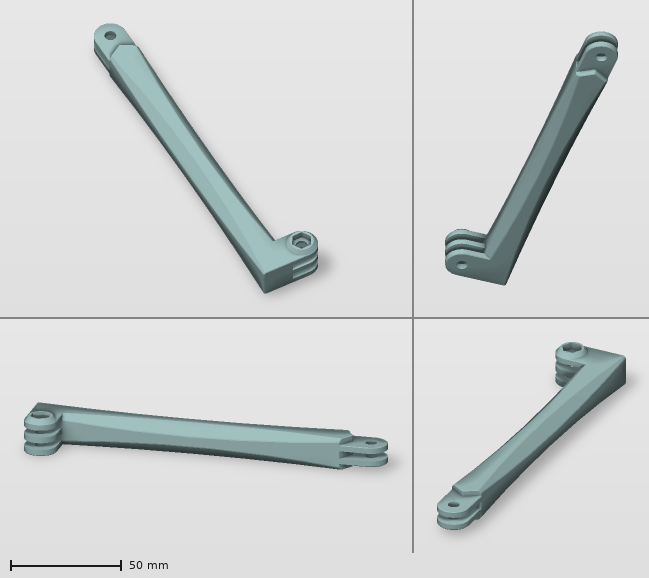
import cadquery as cq
import math


SECTION = 15.0
HALF = SECTION / 2
HINGE_RADIUS = HALF
HOLE_DIAMETER = 5.3
TOLERANCE = 0.001
OVERCUT = 1.0

FOOT_X = 150.0
FOOT_Y = 16.0
ELBOW_X = FOOT_X - HALF
END_X = FOOT_X + HALF

HINGE_CLEARANCE = 8.5
FORK_ROOT_EDGE_X = 13.0
TWO_PRONG_THICKNESS = 2.8
TWO_PRONG_OFFSET = 3.2
THREE_PRONG_SLOT = 3.3
THREE_PRONG_SLOT_OFFSET = 3.0

BEVEL_END_LEG = 0.9
BEVEL_MIDDLE_LEG = 5.1

EDGE_BREAK = 0.3

BOSS_HEIGHT = 2.0
BOSS_TOP_RADIUS = 5.5
NUT_ACROSS_FLATS = 8.4
NUT_POCKET_DEPTH = 3.5


def block(x_min, x_max, y_min, y_max, z_min, z_max):
    """Box given by its limits."""
    size = (x_max - x_min, y_max - y_min, z_max - z_min)
    return cq.Workplane("XY").box(*size, centered=False).translate((x_min, y_min, z_min))


def make_beam():
    """Square beam whose fork root is a V pointing at the two-prong hinge."""
    outline = [
        (HINGE_CLEARANCE, 0),
        (FORK_ROOT_EDGE_X, -HALF),
        (END_X, -HALF),
        (END_X, HALF),
        (FORK_ROOT_EDGE_X, HALF),
    ]
    return cq.Workplane("XY").workplane(offset=-HALF).polyline(outline).close().extrude(SECTION)


def make_bevel_cutter(y_side, z_side, end_x):
    """Arched cutter that bevels one long edge of the beam at 45 degrees, up to end_x."""
    end_depth = BEVEL_END_LEG / math.sqrt(2)
    middle_depth = BEVEL_MIDDLE_LEG / math.sqrt(2)
    middle_x = (HINGE_CLEARANCE + END_X) / 2
    half_chord = END_X - middle_x
    rise = middle_depth - end_depth
    arc_radius = (half_chord ** 2 + rise ** 2) / (2 * rise)

    reach = half_chord + HALF
    reach_depth = middle_depth - arc_radius + math.sqrt(arc_radius ** 2 - reach ** 2)

    edge_plane = cq.Plane(
        origin=(middle_x, y_side * HALF, z_side * HALF),
        xDir=(1, 0, 0),
        normal=(0, -z_side, y_side),
    )
    cutter = (
        cq.Workplane(edge_plane)
        .moveTo(-reach, SECTION)
        .lineTo(-reach, -reach_depth)
        .threePointArc((0, -middle_depth), (reach, -reach_depth))
        .lineTo(reach, SECTION)
        .close()
        .extrude(SECTION, both=True)
    )
    limit = block(0, end_x, -2 * SECTION, 2 * SECTION, -2 * SECTION, 2 * SECTION)
    return cutter.intersect(limit)


def bevel_beam(beam):
    """Bevel all four long edges; those beside the foot stop at the elbow."""
    for z_side in (-1, 1):
        beam = beam.cut(make_bevel_cutter(-1, z_side, END_X + OVERCUT))
        beam = beam.cut(make_bevel_cutter(1, z_side, ELBOW_X))
    return beam


def make_foot():
    """Short leg of the L with a round tip, still solid."""
    leg = block(ELBOW_X, END_X, 0, FOOT_Y, -HALF, HALF)
    tip = (
        cq.Workplane("XY")
        .workplane(offset=-HALF)
        .center(FOOT_X, FOOT_Y)
        .circle(HINGE_RADIUS)
        .extrude(SECTION)
    )
    return leg.union(tip)


def lies_at(low, high, position):
    """True when an extent from low to high sits entirely at one position."""
    return abs(low - position) < TOLERANCE and abs(high - position) < TOLERANCE


def stays_sharp(edge):
    """True for edges left alone: the elbow, the fork root's side corners and the tangent seams."""
    box = edge.BoundingBox()
    at_elbow = lies_at(box.xmin, box.xmax, ELBOW_X) and box.ymax < HALF + TOLERANCE
    at_fork_root_side = lies_at(box.xmin, box.xmax, FORK_ROOT_EDGE_X)
    at_tip_seam = lies_at(box.ymin, box.ymax, FOOT_Y)
    return at_elbow or at_fork_root_side or at_tip_seam


def break_edges(body):
    """Chamfer the outer edges of the solid L."""
    edges = [edge for edge in body.edges().vals() if not stays_sharp(edge)]
    return body.newObject(edges).chamfer(EDGE_BREAK)


def cut_foot_slots(body):
    """Cut the two slots that divide the foot into three prongs."""
    slot_y = FOOT_Y - HINGE_CLEARANCE
    past_tip_y = FOOT_Y + HINGE_RADIUS + OVERCUT
    for side in (-1, 1):
        bottom = side * THREE_PRONG_SLOT_OFFSET - THREE_PRONG_SLOT / 2
        top = bottom + THREE_PRONG_SLOT
        slot = block(ELBOW_X - OVERCUT, END_X + OVERCUT, slot_y, past_tip_y, bottom, top)
        body = body.cut(slot)
    return body


def make_two_prong(side):
    """Flat prong with a round tip around the origin axis and its outer face chamfered."""
    bottom = side * TWO_PRONG_OFFSET - TWO_PRONG_THICKNESS / 2
    top = bottom + TWO_PRONG_THICKNESS
    tip = cq.Workplane("XY").workplane(offset=bottom).circle(HINGE_RADIUS).extrude(TWO_PRONG_THICKNESS)
    prong = tip.union(block(0, FORK_ROOT_EDGE_X, -HALF, HALF, bottom, top))
    outer_face = ">Z" if side > 0 else "<Z"
    return prong.faces(outer_face).edges("not >X").chamfer(EDGE_BREAK)


def make_boss():
    """Short cone on top of the three-prong hinge."""
    return (
        cq.Workplane("XY")
        .workplane(offset=HALF)
        .center(FOOT_X, FOOT_Y)
        .circle(HINGE_RADIUS - EDGE_BREAK)
        .workplane(offset=BOSS_HEIGHT)
        .circle(BOSS_TOP_RADIUS)
        .loft()
    )


def make_nut_pocket():
    """Hexagonal pocket with two flats facing along X."""
    across_corners = NUT_ACROSS_FLATS / math.cos(math.radians(30))
    return (
        cq.Workplane("XY")
        .polygon(6, across_corners)
        .extrude(NUT_POCKET_DEPTH + OVERCUT)
        .rotate((0, 0, 0), (0, 0, 1), 30)
        .translate((FOOT_X, FOOT_Y, HALF + BOSS_HEIGHT - NUT_POCKET_DEPTH))
    )


def make_hinge_hole(x, y):
    """Bolt hole through the full height."""
    return (
        cq.Workplane("XY")
        .workplane(offset=-SECTION)
        .center(x, y)
        .circle(HOLE_DIAMETER / 2)
        .extrude(2 * SECTION)
    )


body = bevel_beam(make_beam()).union(make_foot())
arm = cut_foot_slots(break_edges(body))
for prong_side in (-1, 1):
    arm = arm.union(make_two_prong(prong_side))
arm = arm.union(make_boss())
arm = arm.cut(make_nut_pocket())
for hinge_x, hinge_y in ((0, 0), (FOOT_X, FOOT_Y)):
    arm = arm.cut(make_hinge_hole(hinge_x, hinge_y))

result = arm